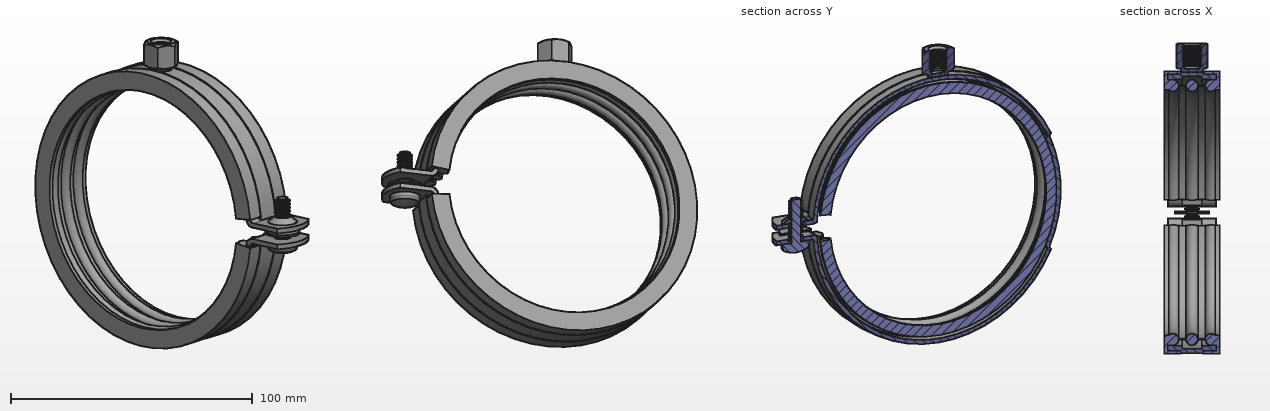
import cadquery as cq
import math


liner_width = 23.1
liner_outer_radius = 58.5
liner_side_inner_radius = 50.7
rib_radius = 2.5
rib_spacing = 7.9
web_thickness = 0.6
channel_width = 9.2
opening_half_angle = 5.9

strap_width = 20.0
strap_thickness = 2.0
strap_inner_radius = 55.0
strap_outer_radius = strap_inner_radius + strap_thickness
rib_center_radius = strap_inner_radius - rib_radius
lug_inner_height = 2.4
lug_outer_height = lug_inner_height + strap_thickness
lug_end_x = 75.0
lug_corner_x = 71.6
bend_inner_radius = 1.8
bend_outer_radius = 3.3

bead_height = 1.2
bead_outer_radius = strap_outer_radius + bead_height
bead_hollow_radius = strap_inner_radius + bead_height
bead_hollow_width = 7.9
bead_hollow_end_height = 3.0
bead_foot_angle = 25.0
bead_crest_angle = 25.8

boss_top = 69.93
boss_bottom = 59.5
boss_across_flats = 13.0
boss_face_radius = 5.9
boss_chamfer_angle = 30
boss_neck_top_radius = 4.9
boss_neck_bottom_radius = 4.4
boss_bore_minor_radius = 3.1
boss_bore_major_radius = 4.0
boss_bore_mouth_radius = 4.2
boss_bore_pitch = 1.25

screw_x = 65.9
screw_top = 14.5
screw_core_radius = 2.2
screw_major_radius = 3.1
screw_pitch = 1.5
screw_first_crest = -1.6
screw_crest_count = 11
thread_half_width = 0.4
head_radius = 6.2
head_rim_bottom = -6.0
crown_edge_radius = 5.7
crown_edge_height = -7.3
head_bottom = -8.9
screw_hole_radius = 3.2
nut_base_radius = 6.0
nut_top_radius = 3.2
nut_height = 2.2
nut_bulge = 0.15
washer_radius = 7.1
washer_thickness = 0.9


def ring(inner_radius, outer_radius, width):
    """Full ring about the Y axis, centered on Y = 0."""
    flat = cq.Workplane("XZ").circle(outer_radius).circle(inner_radius)
    return flat.extrude(width / 2, both=True)


def above(height):
    """Block that holds everything of the clamp above a given height."""
    size = 2 * (lug_end_x + liner_outer_radius)
    return cq.Workplane("XY", origin=(0, 0, height)).rect(size, size).extrude(size)


def both_halves(upper):
    """Upper half of a strap feature joined to its mirror image."""
    return upper.union(upper.mirror("XY"))


def rib_point(center_y, angle):
    """Point on a rib outline as (radius, y); the angle turns from +Y toward larger radius."""
    return (rib_center_radius + rib_radius * math.sin(angle), center_y + rib_radius * math.cos(angle))


def rib_edge(section, center_y, start_angle, end_angle):
    """Run a section outline straight to a rib and on around it."""
    middle = rib_point(center_y, (start_angle + end_angle) / 2)
    section = section.lineTo(*rib_point(center_y, start_angle))
    return section.threePointArc(middle, rib_point(center_y, end_angle))


def make_liner(strap):
    """Ribbed rubber channel that wraps the strap edges, open at the lugs."""
    web_angle = math.asin(web_thickness / 2 / rib_radius)
    side_angle = math.asin((rib_center_radius - liner_side_inner_radius) / rib_radius)
    quarter = math.pi / 2
    half_width = liner_width / 2
    inner_ribs = (
        (-rib_spacing, side_angle - math.pi, -web_angle),
        (0, web_angle - math.pi, -web_angle),
        (rib_spacing, web_angle - math.pi, -side_angle),
    )
    outer_ribs = (
        (rib_spacing, quarter, math.pi - web_angle),
        (0, web_angle, math.pi - web_angle),
        (-rib_spacing, web_angle, quarter),
    )
    section = cq.Workplane("XY").moveTo(liner_side_inner_radius, -half_width)
    for rib in inner_ribs:
        section = rib_edge(section, *rib)
    section = (
        section.lineTo(liner_side_inner_radius, half_width)
        .lineTo(liner_outer_radius, half_width)
        .lineTo(liner_outer_radius, channel_width / 2)
        .lineTo(strap_outer_radius, channel_width / 2)
        .lineTo(strap_outer_radius, strap_width / 2)
        .lineTo(strap_inner_radius, strap_width / 2)
    )
    for rib in outer_ribs:
        section = rib_edge(section, *rib)
    section = (
        section.lineTo(strap_inner_radius, -strap_width / 2)
        .lineTo(strap_outer_radius, -strap_width / 2)
        .lineTo(strap_outer_radius, -channel_width / 2)
        .lineTo(liner_outer_radius, -channel_width / 2)
        .lineTo(liner_outer_radius, -half_width)
    )
    body = section.close().revolve(360 - 2 * opening_half_angle, (0, 0, 0), (0, 1, 0))
    return body.rotate((0, 0, 0), (0, 1, 0), opening_half_angle).cut(strap)


def upper_band():
    """Upper half of the plain strap with its bent lug."""
    half_ring = ring(strap_inner_radius, strap_outer_radius, strap_width)
    half_ring = half_ring.intersect(above(0))
    gap_end = cq.Workplane("XY").box(
        lug_end_x, strap_width, lug_inner_height, centered=(False, True, False)
    )
    half_ring = half_ring.cut(gap_end)
    bend_start_x = math.sqrt(strap_inner_radius**2 - lug_inner_height**2)
    bend_inner_x = math.sqrt(strap_outer_radius**2 - lug_outer_height**2)
    half_width = strap_width / 2
    lug = (
        cq.Workplane("XY", origin=(0, 0, lug_inner_height))
        .moveTo(bend_start_x, -half_width)
        .lineTo(lug_corner_x, -half_width)
        .threePointArc((lug_end_x, 0), (lug_corner_x, half_width))
        .lineTo(bend_start_x, half_width)
        .close()
        .extrude(strap_thickness)
    )
    band = half_ring.union(lug)
    inner_corner = cq.NearestToPointSelector((bend_inner_x, 0, lug_outer_height))
    outer_corner = cq.NearestToPointSelector((bend_start_x, 0, lug_inner_height))
    band = band.edges(inner_corner).fillet(bend_inner_radius)
    return band.edges(outer_corner).fillet(bend_outer_radius)


def bead_reach(width, foot_radius, crest_radius, end_height):
    """Upper part of a bead, from the ramp opposite the opening to the lug."""
    bead = ring(foot_radius, crest_radius, width).intersect(above(end_height))
    reach = 2 * liner_outer_radius
    foot = math.radians(bead_foot_angle)
    crest = math.radians(bead_crest_angle)
    foot_point = (-foot_radius * math.cos(foot), foot_radius * math.sin(foot))
    crest_point = (-crest_radius * math.cos(crest), crest_radius * math.sin(crest))
    ramp_x = crest_point[0] - foot_point[0]
    ramp_z = crest_point[1] - foot_point[1]
    ramp_stretch = 2
    outer_point = (crest_point[0] + ramp_stretch * ramp_x, crest_point[1] + ramp_stretch * ramp_z)
    cutter = (
        cq.Workplane("XZ")
        .polyline([(0, 0), foot_point, outer_point, (-reach, 0)])
        .close()
        .extrude(width, both=True)
    )
    return bead.cut(cutter)


def make_strap():
    """Steel strap with two lugs and a hollow raised bead."""
    upper = upper_band()
    lug_middle = lug_inner_height + strap_thickness / 2
    upper = upper.union(bead_reach(channel_width, strap_outer_radius, bead_outer_radius, lug_middle))
    upper = upper.cut(
        bead_reach(bead_hollow_width, strap_inner_radius, bead_hollow_radius, bead_hollow_end_height)
    )
    strap = both_halves(upper)
    screw_hole = (
        cq.Workplane("XY").center(screw_x, 0).circle(screw_hole_radius).extrude(lug_outer_height, both=True)
    )
    return strap.cut(screw_hole)


def turned(outline, center_x=0):
    """Solid of revolution about a vertical axis."""
    return outline.close().revolve(360, (0, 0, 0), (0, 1, 0)).translate((center_x, 0, 0))


def thread_ring(core_radius, crest_radius, crest_height):
    """One V-shaped thread turn, as a disc with a sharp rim."""
    profile = (
        cq.Workplane("XZ")
        .moveTo(0, crest_height - thread_half_width)
        .lineTo(core_radius, crest_height - thread_half_width)
        .lineTo(crest_radius, crest_height)
        .lineTo(core_radius, crest_height + thread_half_width)
        .lineTo(0, crest_height + thread_half_width)
    )
    return turned(profile)


def make_boss(strap):
    """Chamfered hexagonal nut with a blind threaded bore and a neck seated on the strap."""
    corner_radius = boss_across_flats / math.sqrt(3)
    hexagon = (
        cq.Workplane("XY", origin=(0, 0, boss_bottom))
        .polygon(6, 2 * corner_radius)
        .extrude(boss_top - boss_bottom)
    )
    chamfer_drop = (corner_radius - boss_face_radius) * math.tan(math.radians(boss_chamfer_angle))
    envelope = turned(
        cq.Workplane("XZ")
        .moveTo(0, boss_bottom)
        .lineTo(boss_face_radius, boss_bottom)
        .lineTo(corner_radius, boss_bottom + chamfer_drop)
        .lineTo(corner_radius, boss_top - chamfer_drop)
        .lineTo(boss_face_radius, boss_top)
        .lineTo(0, boss_top)
    )
    neck = turned(
        cq.Workplane("XZ")
        .moveTo(0, strap_outer_radius)
        .lineTo(boss_neck_bottom_radius, strap_outer_radius)
        .lineTo(boss_neck_bottom_radius, bead_outer_radius)
        .lineTo(boss_neck_top_radius, boss_bottom)
        .lineTo(0, boss_bottom)
    )
    boss = hexagon.intersect(envelope).union(neck).cut(strap)

    mouth_depth = boss_bore_mouth_radius - boss_bore_minor_radius
    bore = turned(
        cq.Workplane("XZ")
        .moveTo(0, boss_bottom)
        .lineTo(boss_bore_minor_radius, boss_bottom)
        .lineTo(boss_bore_minor_radius, boss_top - mouth_depth)
        .lineTo(boss_bore_mouth_radius, boss_top)
        .lineTo(0, boss_top)
    )
    turn_count = math.floor((boss_top - boss_bottom) / boss_bore_pitch) - 1
    for turn in range(1, turn_count + 1):
        crest_height = boss_bottom + turn * boss_bore_pitch
        bore = bore.union(thread_ring(boss_bore_minor_radius, boss_bore_major_radius, crest_height))
    return boss.cut(bore)


def make_screw():
    """Round-headed screw, head under the lower lug, threaded shank pointing up."""
    crown_height = crown_edge_height - head_bottom
    crown_radius = (crown_edge_radius**2 + crown_height**2) / (2 * crown_height)
    crown_middle = crown_edge_radius / 2
    crown_middle_height = head_bottom + crown_radius - math.sqrt(crown_radius**2 - crown_middle**2)
    screw = turned(
        cq.Workplane("XZ")
        .moveTo(0, screw_top)
        .lineTo(screw_core_radius, screw_top)
        .lineTo(screw_core_radius, -lug_outer_height)
        .lineTo(head_radius, -lug_outer_height)
        .lineTo(head_radius, head_rim_bottom)
        .tangentArcPoint((crown_edge_radius, crown_edge_height), relative=False)
        .threePointArc((crown_middle, crown_middle_height), (0, head_bottom))
    )
    for turn in range(screw_crest_count):
        crest_height = screw_first_crest + turn * screw_pitch
        screw = screw.union(thread_ring(screw_core_radius, screw_major_radius, crest_height))
    return screw.translate((screw_x, 0, 0))


def make_dome_nut(screw):
    """Low domed nut on the upper lug, threaded to match the screw."""
    top = lug_outer_height + nut_height
    middle = ((nut_base_radius + nut_top_radius) / 2, lug_outer_height + nut_height / 2 + nut_bulge)
    dome = turned(
        cq.Workplane("XZ")
        .moveTo(0, lug_outer_height)
        .lineTo(nut_base_radius, lug_outer_height)
        .threePointArc(middle, (nut_top_radius, top))
        .lineTo(0, top),
        screw_x,
    )
    return dome.cut(screw)


def make_washer():
    """Flat washer around the shank, midway between the lugs."""
    flat = cq.Workplane("XY").center(screw_x, 0).circle(washer_radius).circle(screw_hole_radius)
    return flat.extrude(washer_thickness / 2, both=True)


strap = make_strap()
liner = make_liner(strap)
boss = make_boss(strap)
screw = make_screw()
dome_nut = make_dome_nut(screw)
washer = make_washer()

bodies = (liner, strap, boss, screw, dome_nut, washer)
result = cq.Compound.makeCompound([body.solids().val() for body in bodies])